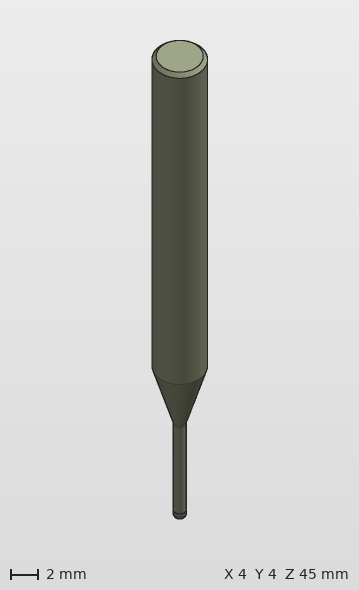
import cadquery as cq
import math

overall_length = 45.0
shank_radius = 4.0 / 2
shank_chamfer = 0.3
taper_top = 14.8

neck_radius = 0.95 / 2
blend_bottom = 9.2
blend_top = 9.4

ball_radius = 0.5
head_length = 0.75


def make_shank():
    """Chamfered shank, conical taper, blend arc and neck, revolved as one solid."""
    cone_angle = math.atan((shank_radius - neck_radius) / (taper_top - (blend_bottom + blend_top) / 2))
    blend_height = blend_top - blend_bottom
    blend_offset = blend_height * math.tan(cone_angle / 2)
    profile = (
        cq.Workplane("XZ")
        .moveTo(0, head_length)
        .lineTo(neck_radius, head_length)
        .lineTo(neck_radius, blend_bottom)
        .tangentArcPoint((neck_radius + blend_offset, blend_top), relative=False)
        .lineTo(shank_radius, taper_top)
        .lineTo(shank_radius, overall_length - shank_chamfer)
        .lineTo(shank_radius - shank_chamfer, overall_length)
        .lineTo(0, overall_length)
        .close()
    )
    return profile.revolve(360, (0, 0, 0), (0, 1, 0))


def make_cutting_head():
    """Short cylinder with a hemispherical lower end."""
    diagonal = ball_radius * math.sqrt(0.5)
    profile = (
        cq.Workplane("XZ")
        .moveTo(0, 0)
        .threePointArc((diagonal, ball_radius - diagonal), (ball_radius, ball_radius))
        .lineTo(ball_radius, head_length)
        .lineTo(0, head_length)
        .close()
    )
    return profile.revolve(360, (0, 0, 0), (0, 1, 0))


shank = make_shank()
cutting_head = make_cutting_head()
result = cq.Compound.makeCompound([shank.val(), cutting_head.val()])